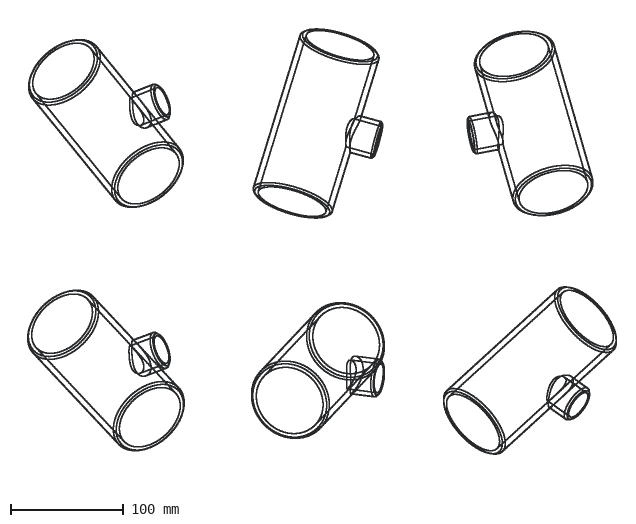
import cadquery as cq

run_length = 152.4
run_diameter = 73.0
run_wall = 5.2

branch_diameter = 33.7
branch_wall = 4.0
branch_reach = 57.2

bevel_width = 1.8
bevel_length = 1.8


def run_cylinder(diameter):
    """Cylinder along X over the full run length."""
    return cq.Workplane("YZ").circle(diameter / 2).extrude(run_length / 2, both=True)


def branch_cylinder(diameter):
    """Cylinder from the run axis out to the branch end face."""
    return cq.Workplane("XZ").circle(diameter / 2).extrude(-branch_reach)


run_body = run_cylinder(run_diameter).faces("<X or >X").edges().chamfer(bevel_length, bevel_width)
branch_body = branch_cylinder(branch_diameter).faces(">Y").edges().chamfer(bevel_length, bevel_width)

run_bore = run_cylinder(run_diameter - 2 * run_wall)
branch_bore = branch_cylinder(branch_diameter - 2 * branch_wall)

result = run_body.union(branch_body).cut(run_bore).cut(branch_bore)